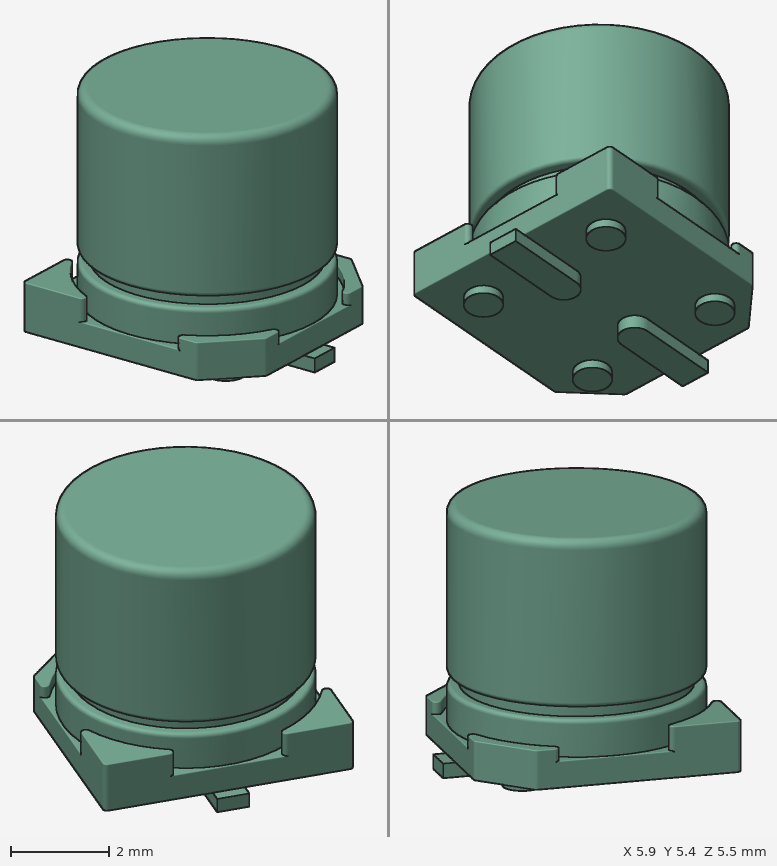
import cadquery as cq

base_side = 5.4
base_bottom = 0.31
notch_floor = 0.89
tall_block_top = 1.41
low_block_top = 1.155
corner_chamfer = 1.02
notch_width = 2.35
pocket_radius = 2.79
upright_radius = 0.1
rim_radius = 0.025
tolerance = 0.0005

can_diameter = 5.3
neck_diameter = 4.8
can_top = 5.5
neck_bottom = 1.68
neck_top = 1.94
neck_edge_radius = 0.095
top_edge_radius = 0.2

lead_span = 5.9
lead_width = 0.695
lead_gap = 1.475
peg_diameter = 0.8
peg_offset = 1.67
peg_bottom = 0.12


def faces_at(body, height):
    """Flat faces lying at the given height."""
    lower_corner = (-base_side, -base_side, height - tolerance)
    upper_corner = (base_side, base_side, height + tolerance)
    return body.faces(cq.selectors.BoxSelector(lower_corner, upper_corner))


def is_on_base_side(edge):
    """True for an edge lying in one of the four outer side planes of the base."""
    centre = edge.Center()
    return max(abs(centre.x), abs(centre.y)) > base_side / 2 - tolerance


def make_base():
    base = (
        cq.Workplane("XY", origin=(0, 0, base_bottom))
        .rect(base_side, base_side)
        .extrude(tall_block_top - base_bottom)
        .edges("|Z and >X")
        .chamfer(corner_chamfer)
    )

    clear_height = tall_block_top - notch_floor
    floor = cq.Workplane("XY", origin=(0, 0, notch_floor))
    base = base.cut(floor.circle(pocket_radius).extrude(clear_height))
    base = base.cut(floor.rect(base_side, notch_width).extrude(clear_height))
    base = base.cut(floor.rect(notch_width, base_side).extrude(clear_height))

    low_space = cq.Workplane("XY", origin=(base_side / 2, 0, low_block_top)).rect(base_side, base_side)
    base = base.cut(low_space.extrude(tall_block_top - low_block_top))

    base = base.edges("|Z").fillet(upright_radius)
    for height in (base_bottom, low_block_top, tall_block_top):
        base = faces_at(base, height).edges().fillet(rim_radius)
    return faces_at(base, notch_floor).edges().filter(is_on_base_side).fillet(rim_radius)


def make_cylinder(diameter, bottom, top):
    return cq.Workplane("XY", origin=(0, 0, bottom)).circle(diameter / 2).extrude(top - bottom)


def make_can():
    foot = make_cylinder(can_diameter, notch_floor, neck_bottom)
    foot = foot.faces(">Z").edges().fillet(neck_edge_radius)
    neck = make_cylinder(neck_diameter, neck_bottom, neck_top)
    body = make_cylinder(can_diameter, neck_top, can_top)
    body = body.faces("<Z").edges().fillet(neck_edge_radius)
    body = body.faces(">Z").edges().fillet(top_edge_radius)
    return foot.union(neck).union(body)


def make_lead(direction):
    """Flat lead under the base, pointing along +X (direction 1) or -X (direction -1)."""
    tip_radius = lead_width / 2
    outer_end = direction * lead_span / 2
    tip_centre = direction * (lead_gap / 2 + tip_radius)
    return (
        cq.Workplane("XY")
        .moveTo(outer_end, tip_radius)
        .lineTo(tip_centre, tip_radius)
        .threePointArc((direction * lead_gap / 2, 0), (tip_centre, -tip_radius))
        .lineTo(outer_end, -tip_radius)
        .close()
        .extrude(base_bottom)
    )


def make_pegs():
    return (
        cq.Workplane("XY", origin=(0, 0, peg_bottom))
        .rect(2 * peg_offset, 2 * peg_offset, forConstruction=True)
        .vertices()
        .circle(peg_diameter / 2)
        .extrude(base_bottom - peg_bottom)
    )


result = make_base().union(make_can()).union(make_pegs())
for direction in (-1, 1):
    result = result.union(make_lead(direction))